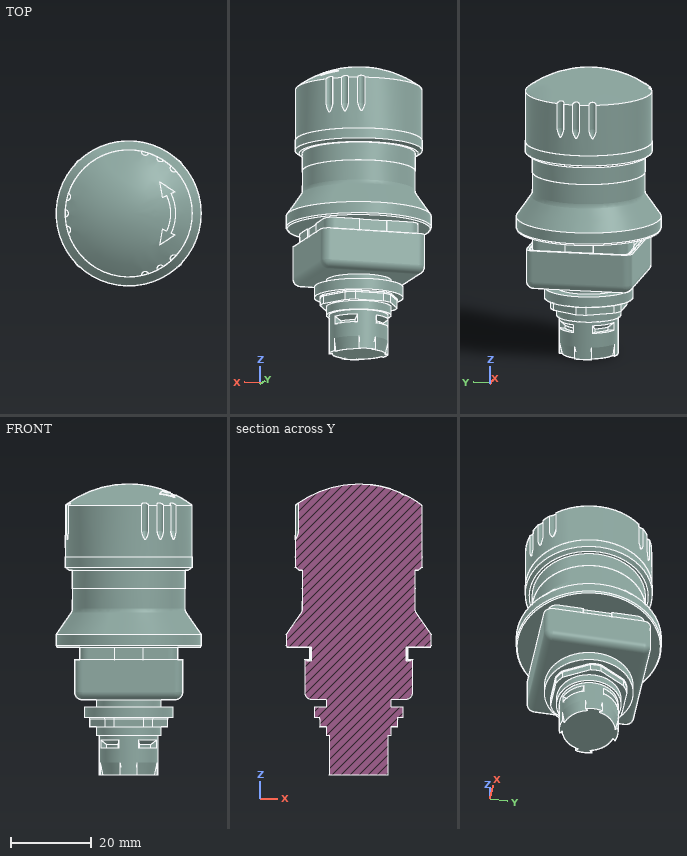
import cadquery as cq
import math

RECESS_TOP_Z = 3.0
WINDOW_BOTTOM_Z = 6.7
WINDOW_TOP_Z = 8.7
STEM_TOP_Z = 9.75
NUT_BOTTOM_Z = 11.9
NUT_LIP_Z = 13.85
WASHER_BOTTOM_Z = 14.2
WASHER_TOP_Z = 16.9
HOUSING_BOTTOM_Z = 18.6
HOUSING_TOP_Z = 28.6
FLANGE_BOTTOM_Z = 31.6
FLANGE_TOP_Z = 34.9
NECK_BOTTOM_Z = 40.65
NECK_STEP_Z = 46.3
KNOB_BOTTOM_Z = 50.75
KNOB_BAND_TOP_Z = 54.0
GROOVE_BOTTOM_Z = 60.4
KNOB_TOP_Z = 66.85
DOME_BASE_Z = 67.1
TOP_Z = 72.2

STEM_DIAMETER = 14.65
THREAD_DIAMETER = 16.0
WASHER_DIAMETER = 22.0
FLANGE_DIAMETER = 36.0
LOWER_NECK_DIAMETER = 28.0
UPPER_NECK_DIAMETER = 28.1
KNOB_BOTTOM_DIAMETER = 29.5
KNOB_BAND_DIAMETER = 31.55
KNOB_DIAMETER = 31.5
DOME_BASE_DIAMETER = 31.05
KNOB_CHAMFER_HEIGHT = 0.7
FLANGE_BOTTOM_DIAMETER = 35.5
FLANGE_CHAMFER_HEIGHT = 0.4
NECK_FILLET = 1.8

NUT_ACROSS_FLATS = 17.9
NUT_CORNER_DIAMETER = 19.35
NUT_LIP_ACROSS_FLATS = 18.05
NUT_LIP_CORNER_DIAMETER = 19.5
NUT_TURN_ANGLE = 30

HOUSING_SIDE = 26.85
HOUSING_CORNER_RADIUS = 2.0
HOUSING_BOTTOM_FILLET = 1.95
HOUSING_RIM_WIDTH = 0.65
HOUSING_RIM_HEIGHT = 0.3
COLLAR_BOTTOM_Z = HOUSING_TOP_Z - HOUSING_RIM_HEIGHT
COLLAR_SIDE = 24.3
COLLAR_CORNER_RADIUS = 2.3
COLLAR_NOTCH_WIDTH = 7.15
COLLAR_NOTCH_DEPTH = 0.35

WINDOW_WIDTH = 6.35
WINDOW_INNER_WIDTH = 3.9
WINDOW_INNER_HEIGHT = 0.8
WINDOW_FLOOR_DIAMETER = 12.1
RECESS_WIDTH = 6.9
RECESS_BOTTOM_DIAMETER = 13.15
STEM_DIAGONALS = (45, 135, 225, 315)

GROOVE_RADIUS = 0.95
GROOVE_TIP_HEIGHT = 2.3
GROOVE_TIP_BULGE = 0.65
GROOVE_AXIS_RADIUS = 15.9
GROOVE_GROUP_ANGLES = (60, 180, 300)
GROOVE_PITCH_ANGLE = 15

ARROW_INNER_RADIUS = 10.4
ARROW_OUTER_RADIUS = 11.6
ARROW_BARB_INNER_RADIUS = 9.25
ARROW_BARB_OUTER_RADIUS = 12.6
ARROW_TIP_RADIUS = 11.0
ARROW_BARB_ANGLE = 25
ARROW_TIP_ANGLE = 45.5
ARROW_DEPTH = 0.15

CUT_CLEARANCE = 0.7


def cylinder(diameter, bottom, top):
    """Upright cylinder on the Z axis."""
    return cq.Workplane("XY").workplane(offset=bottom).circle(diameter / 2).extrude(top - bottom)


def rounded_square(side, corner_radius, bottom, top):
    """Upright square block with rounded vertical edges."""
    block = cq.Workplane("XY").workplane(offset=bottom).rect(side, side).extrude(top - bottom)
    return block.edges("|Z").fillet(corner_radius)


def polar(radius, degrees):
    """Point in the XY plane given by radius and angle."""
    angle = math.radians(degrees)
    return (radius * math.cos(angle), radius * math.sin(angle))


def dome_radius():
    """Radius of the sphere through the dome base circle and the top point."""
    height = TOP_Z - DOME_BASE_Z
    return ((DOME_BASE_DIAMETER / 2) ** 2 + height**2) / (2 * height)


def make_flange_and_neck():
    """Chamfered flange rising in a cone to the two-step neck."""
    flange_radius = FLANGE_DIAMETER / 2
    profile = (
        cq.Workplane("XZ")
        .moveTo(0, FLANGE_BOTTOM_Z)
        .lineTo(FLANGE_BOTTOM_DIAMETER / 2, FLANGE_BOTTOM_Z)
        .lineTo(flange_radius, FLANGE_BOTTOM_Z + FLANGE_CHAMFER_HEIGHT)
        .lineTo(flange_radius, FLANGE_TOP_Z)
        .lineTo(LOWER_NECK_DIAMETER / 2, NECK_BOTTOM_Z)
        .lineTo(LOWER_NECK_DIAMETER / 2, NECK_STEP_Z)
        .lineTo(0, NECK_STEP_Z)
        .close()
    )
    body = profile.revolve(360, (0, 0, 0), (0, 1, 0))
    near_neck_bottom = cq.selectors.BoxSelector(
        (-flange_radius, -flange_radius, NECK_BOTTOM_Z - NECK_FILLET),
        (flange_radius, flange_radius, NECK_BOTTOM_Z + NECK_FILLET),
    )
    body = body.edges("%CIRCLE").edges(near_neck_bottom).fillet(NECK_FILLET)
    return body.union(cylinder(UPPER_NECK_DIAMETER, NECK_STEP_Z, KNOB_BOTTOM_Z))


def make_knob():
    """Knob with a chamfered lower band and a domed top."""
    radius = dome_radius()
    half_angle = math.asin(DOME_BASE_DIAMETER / 2 / radius) / 2
    dome_middle = (radius * math.sin(half_angle), TOP_Z - radius * (1 - math.cos(half_angle)))
    profile = (
        cq.Workplane("XZ")
        .moveTo(0, KNOB_BOTTOM_Z)
        .lineTo(KNOB_BOTTOM_DIAMETER / 2, KNOB_BOTTOM_Z)
        .lineTo(KNOB_BAND_DIAMETER / 2, KNOB_BOTTOM_Z + KNOB_CHAMFER_HEIGHT)
        .lineTo(KNOB_BAND_DIAMETER / 2, KNOB_BAND_TOP_Z)
        .lineTo(KNOB_DIAMETER / 2, KNOB_BAND_TOP_Z)
        .lineTo(KNOB_DIAMETER / 2, KNOB_TOP_Z)
        .lineTo(DOME_BASE_DIAMETER / 2, DOME_BASE_Z)
        .threePointArc(dome_middle, (0, TOP_Z))
        .close()
    )
    return profile.revolve(360, (0, 0, 0), (0, 1, 0))


def make_grip_grooves():
    """Round grooves open at the dome and ending below in a rounded point."""
    tip_middle = (GROOVE_TIP_BULGE * GROOVE_RADIUS, GROOVE_BOTTOM_Z - GROOVE_TIP_HEIGHT / 2)
    groove = (
        cq.Workplane("XZ")
        .moveTo(0, GROOVE_BOTTOM_Z - GROOVE_TIP_HEIGHT)
        .threePointArc(tip_middle, (GROOVE_RADIUS, GROOVE_BOTTOM_Z))
        .lineTo(GROOVE_RADIUS, TOP_Z)
        .lineTo(0, TOP_Z)
        .close()
        .revolve(360, (0, 0, 0), (0, 1, 0))
        .translate((GROOVE_AXIS_RADIUS, 0, 0))
    )
    grooves = cq.Workplane("XY")
    for group_angle in GROOVE_GROUP_ANGLES:
        for step in (-1, 0, 1):
            angle = group_angle + step * GROOVE_PITCH_ANGLE
            grooves = grooves.add(groove.rotate((0, 0, 0), (0, 0, 1), angle))
    return grooves.combine()


def make_arrow():
    """Double-headed arrow following the +X side of the dome, with a floor parallel to the dome."""
    barb = ARROW_BARB_ANGLE
    outline = (
        cq.Workplane("XY")
        .workplane(offset=DOME_BASE_Z)
        .moveTo(*polar(ARROW_OUTER_RADIUS, -barb))
        .threePointArc((ARROW_OUTER_RADIUS, 0), polar(ARROW_OUTER_RADIUS, barb))
        .lineTo(*polar(ARROW_BARB_OUTER_RADIUS, barb))
        .lineTo(*polar(ARROW_TIP_RADIUS, ARROW_TIP_ANGLE))
        .lineTo(*polar(ARROW_BARB_INNER_RADIUS, barb))
        .lineTo(*polar(ARROW_INNER_RADIUS, barb))
        .threePointArc((ARROW_INNER_RADIUS, 0), polar(ARROW_INNER_RADIUS, -barb))
        .lineTo(*polar(ARROW_BARB_INNER_RADIUS, -barb))
        .lineTo(*polar(ARROW_TIP_RADIUS, -ARROW_TIP_ANGLE))
        .lineTo(*polar(ARROW_BARB_OUTER_RADIUS, -barb))
        .close()
        .extrude(TOP_Z - DOME_BASE_Z)
    )
    radius = dome_radius()
    floor = cq.Workplane("XY").sphere(radius - ARROW_DEPTH).translate((0, 0, TOP_Z - radius))
    return outline.cut(floor)


def make_collar():
    """Square collar with a shallow notch in the middle of each side."""
    collar = rounded_square(COLLAR_SIDE, COLLAR_CORNER_RADIUS, COLLAR_BOTTOM_Z, FLANGE_BOTTOM_Z)
    notch = (
        cq.Workplane("XY")
        .workplane(offset=COLLAR_BOTTOM_Z)
        .center(COLLAR_SIDE / 2, 0)
        .rect(2 * COLLAR_NOTCH_DEPTH, COLLAR_NOTCH_WIDTH)
        .extrude(FLANGE_BOTTOM_Z - COLLAR_BOTTOM_Z)
    )
    for angle in (0, 90, 180, 270):
        collar = collar.cut(notch.rotate((0, 0, 0), (0, 0, 1), angle))
    return collar


def make_housing():
    """Square housing block with rounded corners and a rounded bottom edge, its top sunk inside a low rim."""
    housing = rounded_square(HOUSING_SIDE, HOUSING_CORNER_RADIUS, HOUSING_BOTTOM_Z, HOUSING_TOP_Z)
    housing = housing.faces("<Z").edges().fillet(HOUSING_BOTTOM_FILLET)
    well = rounded_square(
        HOUSING_SIDE - 2 * HOUSING_RIM_WIDTH,
        HOUSING_CORNER_RADIUS,
        COLLAR_BOTTOM_Z,
        HOUSING_TOP_Z,
    )
    return housing.cut(well)


def trimmed_hexagon(across_flats, corner_diameter, bottom, top):
    """Hexagonal prism with corners on the X axis, trimmed to a cylinder."""
    hexagon = (
        cq.Workplane("XY")
        .workplane(offset=bottom)
        .polygon(6, across_flats, circumscribed=True)
        .extrude(top - bottom)
    )
    hexagon = hexagon.rotate((0, 0, 0), (0, 0, 1), NUT_TURN_ANGLE)
    return hexagon.intersect(cylinder(corner_diameter, bottom, top))


def make_nut():
    """Hexagonal nut with its thin lip against the washer."""
    nut = trimmed_hexagon(NUT_ACROSS_FLATS, NUT_CORNER_DIAMETER, NUT_BOTTOM_Z, NUT_LIP_Z)
    lip = trimmed_hexagon(NUT_LIP_ACROSS_FLATS, NUT_LIP_CORNER_DIAMETER, NUT_LIP_Z, WASHER_BOTTOM_Z)
    return nut.union(lip)


def make_window():
    """Stem window on the +X side: sides and ceiling taper inwards, the sill is level."""
    stem_radius = STEM_DIAMETER / 2
    floor_radius = WINDOW_FLOOR_DIAMETER / 2
    outer_radius = stem_radius + CUT_CLEARANCE
    ring = (
        cq.Workplane("XZ")
        .moveTo(floor_radius, WINDOW_BOTTOM_Z)
        .lineTo(outer_radius, WINDOW_BOTTOM_Z)
        .lineTo(outer_radius, WINDOW_TOP_Z)
        .lineTo(stem_radius, WINDOW_TOP_Z)
        .lineTo(floor_radius, WINDOW_BOTTOM_Z + WINDOW_INNER_HEIGHT)
        .close()
        .revolve(360, (0, 0, 0), (0, 1, 0))
    )
    outer_x = math.sqrt(stem_radius**2 - (WINDOW_WIDTH / 2) ** 2)
    inner_x = math.sqrt(floor_radius**2 - (WINDOW_INNER_WIDTH / 2) ** 2)
    wedge = (
        cq.Workplane("XY")
        .workplane(offset=WINDOW_BOTTOM_Z)
        .moveTo(inner_x, -WINDOW_INNER_WIDTH / 2)
        .lineTo(outer_x, -WINDOW_WIDTH / 2)
        .lineTo(outer_radius, -WINDOW_WIDTH / 2)
        .lineTo(outer_radius, WINDOW_WIDTH / 2)
        .lineTo(outer_x, WINDOW_WIDTH / 2)
        .lineTo(inner_x, WINDOW_INNER_WIDTH / 2)
        .close()
        .extrude(WINDOW_TOP_Z - WINDOW_BOTTOM_Z)
    )
    return ring.intersect(wedge)


def make_recess():
    """Conical relief on the +X side of the stem, deepest at the bottom face."""
    stem_radius = STEM_DIAMETER / 2
    outer_radius = stem_radius + CUT_CLEARANCE
    ring = (
        cq.Workplane("XZ")
        .moveTo(RECESS_BOTTOM_DIAMETER / 2, 0)
        .lineTo(outer_radius, 0)
        .lineTo(outer_radius, RECESS_TOP_Z)
        .lineTo(stem_radius, RECESS_TOP_Z)
        .close()
        .revolve(360, (0, 0, 0), (0, 1, 0))
    )
    slab = (
        cq.Workplane("XY")
        .center(outer_radius / 2, 0)
        .rect(outer_radius, RECESS_WIDTH)
        .extrude(RECESS_TOP_Z)
    )
    return ring.intersect(slab)


def make_stem():
    """Stem with a tapered window and a tapered recess on each diagonal."""
    stem = cylinder(STEM_DIAMETER, 0, STEM_TOP_Z)
    window = make_window()
    recess = make_recess()
    for angle in STEM_DIAGONALS:
        stem = stem.cut(window.rotate((0, 0, 0), (0, 0, 1), angle))
        stem = stem.cut(recess.rotate((0, 0, 0), (0, 0, 1), angle))
    return stem


knob = make_knob().cut(make_grip_grooves()).cut(make_arrow())

result = (
    make_stem()
    .union(cylinder(THREAD_DIAMETER, STEM_TOP_Z, HOUSING_BOTTOM_Z))
    .union(make_nut())
    .union(cylinder(WASHER_DIAMETER, WASHER_BOTTOM_Z, WASHER_TOP_Z))
    .union(make_housing())
    .union(make_collar())
    .union(make_flange_and_neck())
    .union(knob)
)